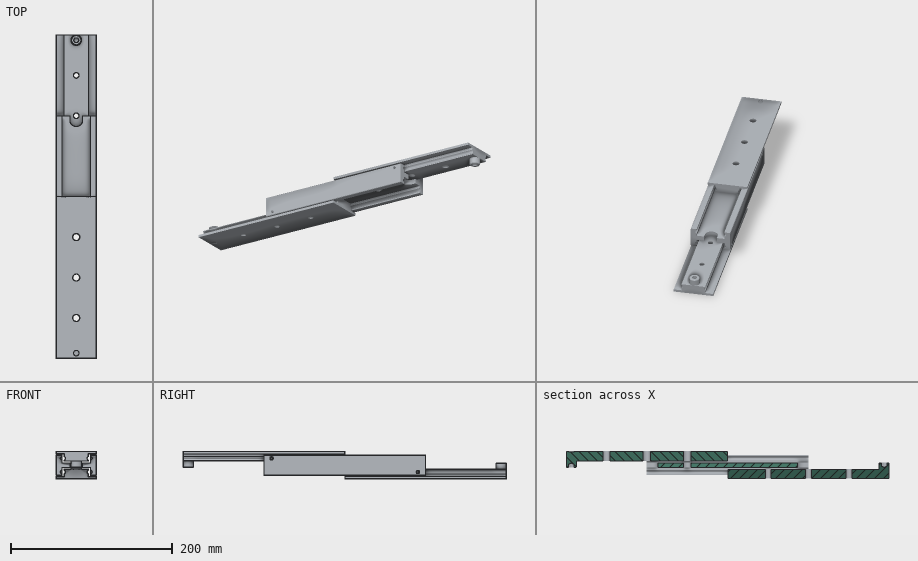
import cadquery as cq

WIDTH = 50.0
RAIL_LENGTH = 200.0
CARRIAGE_LENGTH = 200.0
STACK_HEIGHT = 34.0

CARRIAGE_HEIGHT = 25.0
WEB_THICKNESS = 6.0
INNER_WALL_X = 17.5
CORNER_CHAMFER = 0.6

RAIL_HEIGHT = 12.0
FLANGE_THICKNESS = 3.0
RAIL_BAR_WIDTH = 30.0
RAIL_TOP_Z = STACK_HEIGHT / 2
RAIL_INNER_Z = RAIL_TOP_Z - RAIL_HEIGHT

TRACK_Z = 8.5
TRACK_HALF_OPENING = 2.5
TRACK_ARC_BULGE = 0.35
RAIL_TRACK_DEPTH = 1.5
CARRIAGE_TRACK_DEPTH = 2.4

HOLE_PITCH = 50.0
HOLE_COUNT = 3
UPPER_HOLE_DIAMETER = 8.4
LOWER_HOLE_DIAMETER = 6.6

HEAD_DIAMETER = 13.0
HEAD_HEIGHT = 8.0
HEAD_CHAMFER = 0.8
SOCKET_ACROSS_FLATS = 6.0
SOCKET_DEPTH = 4.0
SOCKET_TIP_DEPTH = 1.5
SCREW_END_DISTANCE = HEAD_DIAMETER / 2
SHANK_DIAMETER = 6.8
SHANK_RECESS = 0.5

NOTCH_WIDTH = 16.0
NOTCH_DEPTH = 13.2
ACCESS_HOLE_DIAMETER = 9.0
ACCESS_HOLE_Y = -HOLE_PITCH

STOP_DIAMETER = 4.2
STOP_END_DISTANCE = 9.5
STOP_RECESS = 1.0
STOP_SOCKET_DIAMETER = 2.5
STOP_SOCKET_DEPTH = 2.0


def box(x_size, y_range, z_range):
    """Box centred on X = 0 between the given Y and Z limits."""
    y_size = y_range[1] - y_range[0]
    z_size = z_range[1] - z_range[0]
    return (
        cq.Workplane("XY", origin=(0, sum(y_range) / 2, z_range[0]))
        .box(x_size, y_size, z_size, centered=(True, True, False))
    )


def vertical_cylinder(diameter, y, z_start, height):
    return cq.Workplane("XY", origin=(0, y, z_start)).circle(diameter / 2).extrude(height)


def ball_track(wall_x, depth, z, y_range):
    """Pointed-arch bar along Y that cuts a track into the wall at wall_x, by depth along X."""
    apex_x = wall_x + depth
    bulge = TRACK_ARC_BULGE if depth > 0 else -TRACK_ARC_BULGE
    return (
        cq.Workplane("XZ", origin=(0, y_range[1], 0))
        .moveTo(wall_x, z - TRACK_HALF_OPENING)
        .sagittaArc((apex_x, z), -bulge)
        .sagittaArc((wall_x, z + TRACK_HALF_OPENING), -bulge)
        .close()
        .extrude(y_range[1] - y_range[0])
    )


def stop_screw(y):
    """Screw head hanging below the upper rail, with a hexagon socket in its lower face."""
    end_z = RAIL_INNER_Z - HEAD_HEIGHT
    head = vertical_cylinder(HEAD_DIAMETER, y, end_z, HEAD_HEIGHT)
    head = head.faces("<Z").edges().chamfer(HEAD_CHAMFER)
    socket = (
        cq.Workplane("XY", origin=(0, y, end_z))
        .transformed(rotate=(0, 0, 90))
        .polygon(6, SOCKET_ACROSS_FLATS, circumscribed=True)
        .extrude(SOCKET_DEPTH)
    )
    tip = cq.Workplane(
        cq.Solid.makeCone(
            SOCKET_ACROSS_FLATS / 2, 0, SOCKET_TIP_DEPTH,
            pnt=cq.Vector(0, y, end_z + SOCKET_DEPTH),
        )
    )
    return head.cut(socket).cut(tip)


def make_rail(hole_diameter):
    """Rail in the upper position, reaching from Y = 0 to its outer end at -Y."""
    span = (-RAIL_LENGTH, 0)
    screw_y = -RAIL_LENGTH + SCREW_END_DISTANCE
    rail = box(WIDTH, span, (RAIL_TOP_Z - FLANGE_THICKNESS, RAIL_TOP_Z))
    rail = rail.union(box(RAIL_BAR_WIDTH, span, (RAIL_INNER_Z, RAIL_TOP_Z)))
    for side in (-1, 1):
        rail = rail.cut(ball_track(side * RAIL_BAR_WIDTH / 2, -side * RAIL_TRACK_DEPTH, TRACK_Z, span))
    for index in range(1, HOLE_COUNT + 1):
        rail = rail.cut(vertical_cylinder(hole_diameter, -index * HOLE_PITCH, RAIL_INNER_Z, RAIL_HEIGHT))
    rail = rail.cut(vertical_cylinder(SHANK_DIAMETER, screw_y, RAIL_TOP_Z - SHANK_RECESS, SHANK_RECESS))
    return rail.union(stop_screw(screw_y))


def end_notch(end):
    """Round-bottomed slot through the web, open at the carriage end (+1 or -1)."""
    end_y = end * CARRIAGE_LENGTH / 2
    centre_y = end_y - end * (NOTCH_DEPTH - NOTCH_WIDTH / 2)
    slot = box(NOTCH_WIDTH, sorted((centre_y, end_y)), (-WEB_THICKNESS / 2, WEB_THICKNESS / 2))
    return slot.union(vertical_cylinder(NOTCH_WIDTH, centre_y, -WEB_THICKNESS / 2, WEB_THICKNESS))


def side_cylinder(diameter, side, y, z, outer_x, length):
    """Cylinder along X running inward from outer_x on the chosen side."""
    return (
        cq.Workplane("YZ", origin=(side * outer_x, y, z))
        .circle(diameter / 2)
        .extrude(-side * length)
    )


def make_carriage():
    half_width = WIDTH / 2
    half_length = CARRIAGE_LENGTH / 2
    span = (-half_length, half_length)
    carriage = box(WIDTH, span, (-CARRIAGE_HEIGHT / 2, CARRIAGE_HEIGHT / 2))
    carriage = carriage.edges("|Y").chamfer(CORNER_CHAMFER)
    for face in (-1, 1):
        channel_z = sorted((face * WEB_THICKNESS / 2, face * CARRIAGE_HEIGHT / 2))
        carriage = carriage.cut(box(2 * INNER_WALL_X, span, channel_z))
        for side in (-1, 1):
            track = ball_track(side * INNER_WALL_X, side * CARRIAGE_TRACK_DEPTH, face * TRACK_Z, span)
            carriage = carriage.cut(track)
            stop_y = -face * (half_length - STOP_END_DISTANCE)
            stop_z = face * TRACK_Z
            stop = side_cylinder(STOP_DIAMETER, side, stop_y, stop_z, half_width, half_width - INNER_WALL_X)
            recess = side_cylinder(STOP_DIAMETER, side, stop_y, stop_z, half_width, STOP_RECESS)
            socket = side_cylinder(
                STOP_SOCKET_DIAMETER, side, stop_y, stop_z, half_width, STOP_RECESS + STOP_SOCKET_DEPTH
            )
            carriage = carriage.union(stop).cut(recess).cut(socket)
    for end in (-1, 1):
        carriage = carriage.cut(end_notch(end))
    return carriage.cut(
        vertical_cylinder(ACCESS_HOLE_DIAMETER, ACCESS_HOLE_Y, -WEB_THICKNESS / 2, WEB_THICKNESS)
    )


carriage = make_carriage()
upper_rail = make_rail(UPPER_HOLE_DIAMETER)
lower_rail = make_rail(LOWER_HOLE_DIAMETER).rotate((0, 0, 0), (1, 0, 0), 180)

result = cq.Compound.makeCompound([carriage.val(), upper_rail.val(), lower_rail.val()])